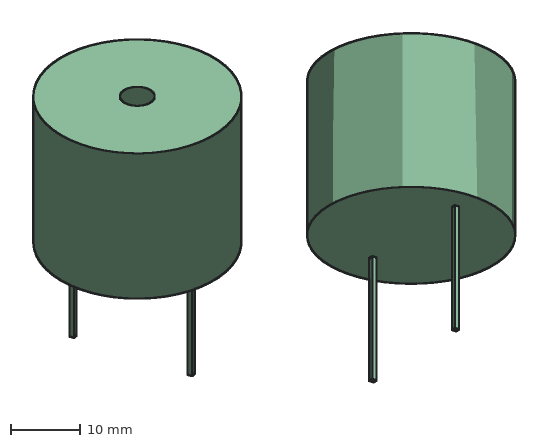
import cadquery as cq

total_height = 45
body_diameter = 30.0
body_height = 25.0

hole_diameter = 5.0
hole_depth = 10.0
floor_radius = 1.0

pin_width = 0.75
pin_length = total_height - body_height
pin_centers = [(-10.9, 0.05), (8.85, 0.35)]


def make_body():
    return cq.Workplane("XY").circle(body_diameter / 2).extrude(body_height)


def make_hole():
    hole = (
        cq.Workplane("XY")
        .workplane(offset=body_height - hole_depth)
        .circle(hole_diameter / 2)
        .extrude(hole_depth)
    )
    return hole.faces("<Z").edges().fillet(floor_radius)


def make_pins():
    return cq.Workplane("XY").pushPoints(pin_centers).rect(pin_width, pin_width).extrude(-pin_length)


result = make_body().cut(make_hole()).union(make_pins())